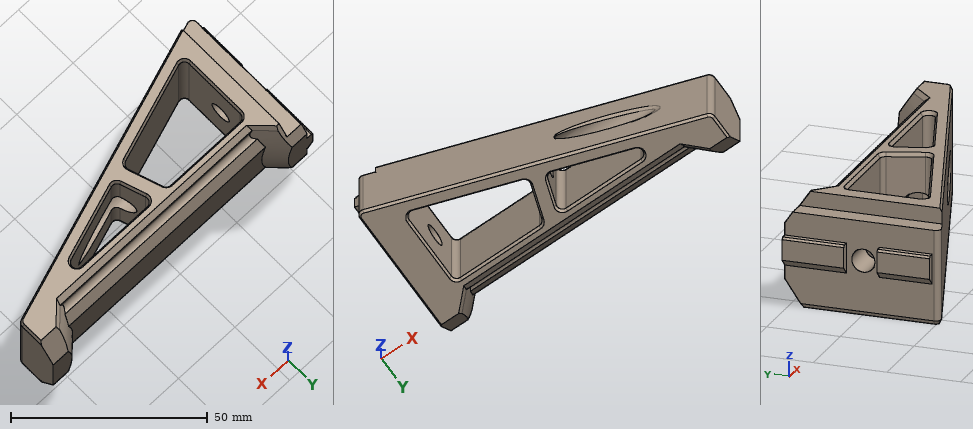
import cadquery as cq
import math

length = 92.0
depth = 41.95
height = 30.0
mid_z = height / 2

tab_projection = 2.0
face_x = tab_projection
step_x = 7.1
step_z = 25.8

slope_run_per_rise = 3.0
slope_cos = math.cos(math.atan(1 / slope_run_per_rise))
heel_radius = 1.5
toe_radius = 1.8
heel_center_x = face_x + heel_radius

bevel_height = 1.1
bevel_width = 0.55
bevel_taper = math.degrees(math.atan(bevel_width / bevel_height))

back_bevel_depth = 5.1
back_bevel_height = 7.4

opening_back_y = 29.4
opening_left_x = 12.05
opening_radius = 1.7
lower_member = 3.8
brace_width = 4.6
brace_top_x = 39.5

hole_y = 20.6
hole_diameter = 6.3
tunnel_diameter = 8.5
tunnel_lip = 0.7

tab_spans = [(1.9, 16.2), (25.2, depth)]
tab_bottom_z = 11.0
tab_top_z = 19.2
tab_top_bevel = 0.55

cradle_rim_y = 31.5
cradle_ledge_y = 33.1
cradle_groove_y = 35.0
cradle_crest_y = 37.2
cradle_rim_drop = 1.3
cradle_corner_x = 13.3
wall_rim_step = 0.9
wall_barrel_rise = 3.2


def slope_y(x, inset=0.0):
    """Y of the line parallel to the sloping side, moved inward by inset."""
    base_y = heel_radius - heel_radius / slope_cos
    return base_y + (x - heel_center_x) / slope_run_per_rise + inset / slope_cos


def slope_x(y, inset=0.0):
    """X where the line of slope_y reaches a given Y."""
    return heel_center_x + slope_run_per_rise * (y - slope_y(heel_center_x, inset))


def brace_x(y, offset=0.0):
    """X of the brace side, square to the sloping side, moved right by offset."""
    return brace_top_x + (opening_back_y - y) / slope_run_per_rise + offset / slope_cos


def lower_brace_corner(offset):
    """Corner where a brace side meets the inner face of the sloping member."""
    slope = 1 / slope_run_per_rise
    x_at_zero = brace_x(0, offset)
    y_at_zero = slope_y(0, lower_member)
    y = (y_at_zero + slope * x_at_zero) / (1 + slope ** 2)
    return brace_x(y, offset), y


def straight_prism(points):
    """Upright prism that leaves room for a bevel above and below."""
    base = cq.Workplane("XY").workplane(offset=bevel_height)
    return base.polyline(points).close().extrude(height - 2 * bevel_height)


def round_corner(prism, point, radius):
    """Round the upright edge that passes by an XY point."""
    selector = cq.selectors.NearestToPointSelector((*point, mid_z))
    return prism.edges("|Z").edges(selector).fillet(radius)


def add_rims(prism, taper):
    """Continue a prism to the full height, narrowing (or flaring, if negative) at both ends."""
    rim_outline = prism.faces(">Z").wires().vals()
    base = cq.Workplane("XY").workplane(offset=height - bevel_height)
    rim = base.add(rim_outline).toPending().extrude(bevel_height, taper=taper)
    return prism.union(rim).union(rim.mirror("XY", (0, 0, mid_z)))


def beveled_body():
    """Wedge with rounded heel and toe, its rims beveled except along the back."""
    spare = 2 * bevel_height
    heel = (face_x, slope_y(face_x))
    toe = (length, slope_y(length))
    body = straight_prism([(face_x, depth + spare), heel, toe, (length, depth + spare)])
    body = round_corner(body, heel, heel_radius)
    body = round_corner(body, toe, toe_radius)
    body = add_rims(body, bevel_taper)
    shoulder_y = depth - back_bevel_depth
    side_profile = [
        (-spare, 0),
        (shoulder_y, 0),
        (depth, back_bevel_height),
        (depth, height - back_bevel_height),
        (shoulder_y, height),
        (-spare, height),
    ]
    return body.intersect(cq.Workplane("YZ").polyline(side_profile).close().extrude(length))


def mounting_step():
    """Step along the upper edge of the mounting face."""
    return cq.Workplane("XY").box(step_x, depth, height, centered=False).translate((0, 0, step_z))


def truss_openings():
    """Two through openings with flared rims, separated by the brace."""
    large = [
        (opening_left_x, opening_back_y),
        (opening_left_x, slope_y(opening_left_x, lower_member)),
        lower_brace_corner(0),
        (brace_x(opening_back_y), opening_back_y),
    ]
    tip_x = slope_x(opening_back_y, lower_member)
    small = [
        (brace_x(opening_back_y, brace_width), opening_back_y),
        lower_brace_corner(brace_width),
        (tip_x, opening_back_y),
    ]
    cutters = [
        add_rims(straight_prism(points).edges("|Z").fillet(opening_radius), -bevel_taper)
        for points in (large, small)
    ]
    return cutters[0].union(cutters[1])


def screw_passage():
    """Screw hole through the mounting wall, tool tunnel out through the sloping side."""
    hole_plane = cq.Workplane("YZ", origin=(0, hole_y, mid_z))
    hole = hole_plane.circle(hole_diameter / 2).extrude(length)
    tunnel = hole_plane.workplane(offset=opening_left_x).circle(tunnel_diameter / 2).extrude(length)
    return hole.union(tunnel)


def bevel_tunnel_mouth(body):
    """Bevel the elliptical edge where the tunnel leaves the sloping side."""
    selector = cq.selectors.NearestToPointSelector((slope_x(hole_y), hole_y, mid_z))
    return body.edges("%ELLIPSE or %BSPLINE").edges(selector).chamfer(tunnel_lip)


def locating_tabs():
    """Two tabs on the mounting face with a wide lower bevel and a narrow upper one."""
    profile = [
        (face_x, tab_bottom_z),
        (0, tab_bottom_z + tab_projection),
        (0, tab_top_z - tab_top_bevel),
        (tab_top_bevel, tab_top_z),
        (face_x, tab_top_z),
    ]
    tabs = cq.Workplane("XY")
    for low_y, high_y in tab_spans:
        tab = cq.Workplane("XZ", origin=(0, high_y, 0)).polyline(profile).close().extrude(high_y - low_y)
        tabs = tabs.union(tab)
    return tabs


def cradle():
    """Pocket in the back: a grooved seat between two barrel-shaped 45 degree walls."""
    rim_z = height - cradle_rim_drop
    back_y = depth + cradle_rim_drop
    crest_z = height - back_bevel_height
    groove_z = crest_z + (cradle_crest_y - cradle_groove_y) * back_bevel_height / back_bevel_depth
    groove_radius = cradle_groove_y - cradle_ledge_y
    groove_mid = (
        cradle_groove_y - groove_radius * math.sqrt(0.5),
        groove_z + groove_radius * (1 - math.sqrt(0.5)),
    )
    upper_half = (
        cq.Workplane("YZ")
        .moveTo(cradle_crest_y, mid_z)
        .lineTo(cradle_crest_y, crest_z)
        .lineTo(cradle_groove_y, groove_z)
        .threePointArc(groove_mid, (cradle_ledge_y, groove_z + groove_radius))
        .lineTo(cradle_ledge_y, rim_z)
        .lineTo(cradle_rim_y, height)
        .lineTo(back_y, height)
        .lineTo(back_y, mid_z)
        .close()
        .extrude(length)
    )
    seat = upper_half.union(upper_half.mirror("XY", (0, 0, mid_z)))

    wall_plane = cq.Plane(
        origin=(cradle_corner_x, cradle_rim_y, 0),
        xDir=(1, 1, 0),
        normal=(1, -1, 0),
    )
    left_wall = (
        cq.Workplane(wall_plane)
        .lineTo(wall_rim_step, cradle_rim_drop)
        .threePointArc((wall_rim_step + wall_barrel_rise, mid_z), (wall_rim_step, rim_z))
        .lineTo(0, height)
        .lineTo(length, height)
        .lineTo(length, 0)
        .close()
        .extrude(length, both=True)
    )
    center_x = (face_x + length) / 2
    right_wall = left_wall.mirror("YZ", (center_x, 0, 0))
    return seat.intersect(left_wall).intersect(right_wall)


body = beveled_body().cut(mounting_step()).cut(truss_openings()).cut(screw_passage())
result = bevel_tunnel_mouth(body).cut(cradle()).union(locating_tabs())